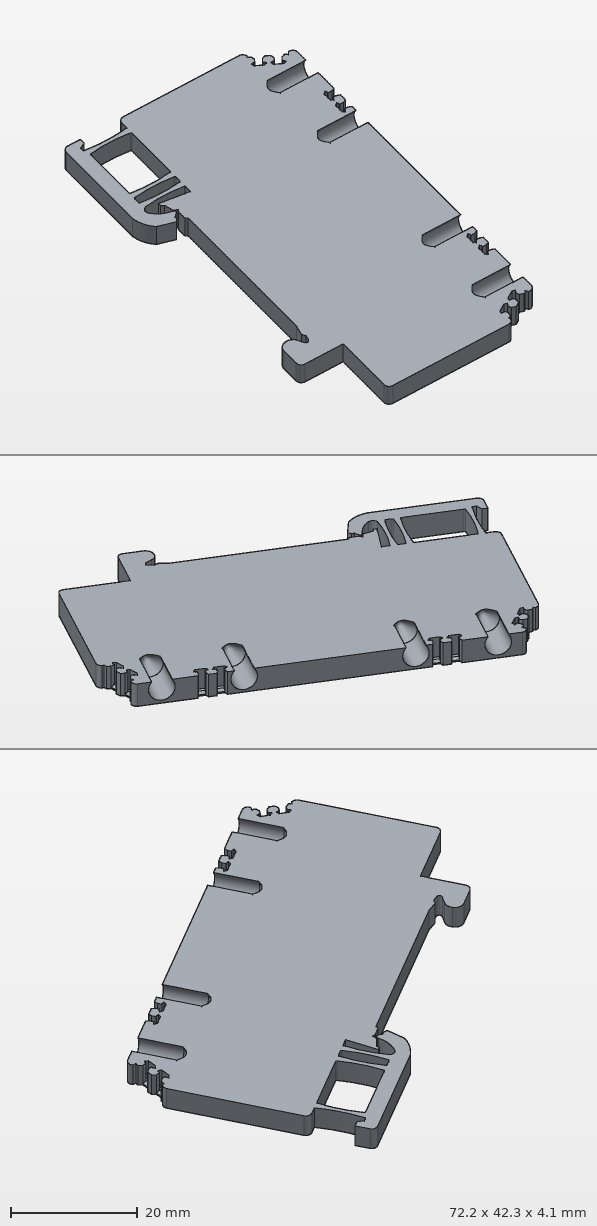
import cadquery as cq
import math

length = 72.2
thickness = 4.1
body_height = 31.5
foot_depth = 10.8
half_length = length / 2
corner_radius = 1.0

seat_y = -3.7
seat_lip = 0.4
seat_edge = [
    (-14.7, seat_y - seat_lip / 3),
    (-14.3, seat_y - seat_lip),
    (-12.55, seat_y - seat_lip),
    (-12.3, seat_y),
    (16.75, seat_y),
    (18.6, seat_y - seat_lip),
    (19.35, seat_y),
]

latch_nose = [(-17.55, -5.6), (-17.0, -5.6), (-16.7, -5.05), (-15.0, -4.6)]

slot_pitch = 3.1
slot_neck = 1.2
slot_head = 2.4
slot_head_base = 1.65
slot_neck_end = 1.3
slot_head_widest = 1.5
slot_depth = 1.95
slot_floor = 0.5
slot_sill = 0.25
slot_mouth_depth = 0.6
top_mouth = 1.7
shoulder_mouth = 2.2
top_pair_x = 19.1

shoulder_angle = 60.0
shoulder_mid_x = 33.4
shoulder_mid_y = body_height - 4.25
shoulder_reach = (slot_pitch + shoulder_mouth) / 2
flank_top = body_height - 7.8
flank_lobe_x = -35.4
flank_lobe_y = body_height - 6.9
flank_lobe_radius = 1.15
flank_nick_x = -35.0
flank_nick_y = body_height - 7.1
crest_start_x = -31.4
crest_radius = 0.95
crest_nick_x = -31.7
crest_nick_y = body_height - 1.5
crest_end_x = -32.2
crest_end_y = body_height - 1.15
lower_lobe_radius = 0.7
shoulder_dx = shoulder_reach * math.cos(math.radians(shoulder_angle))
shoulder_dy = shoulder_reach * math.sin(math.radians(shoulder_angle))

grooves = [(27.4, 3.3), (14.0, 3.2)]
groove_length = 7.45
groove_tip = 1.0
groove_radius = 2.2

leg_bow = 0.3
leg_outer_x = -33.8
bar_top_y = -8.0
bar_notch_y = -8.45
bar_notch_x = -34.5
bar_nose_x = -35.1
bar_nose_y = -7.4
hook_start_x = -17.3
hook_bend = (-15.15, -10.0)
hook_bend_end = (-13.7, -8.8)
hook_head = [(-12.7, -5.6), (-13.3, -5.2), (-13.7, -5.2), (-14.5, -4.25), (-14.95, -4.85)]
hook_inner_bend = (-15.5, -6.6)
gap_floor_right = (-16.8, -8.1)
gap_floor_mid = (-17.6, -8.2)
gap_floor_left_y = -7.65
windows = [(-32.55, -22.0), (-20.8, -19.4)]
gap_left = -18.2
gap_right = -16.75
window_corner = 0.2

throat_top = (20.3, -3.9)
throat_end = (20.6, -4.25)
throat_bottom = (20.35, -4.8)
claw_tip = (19.3, -5.4)
claw_bend = (18.6, -6.1)
rigid_outer_x = 24.2
rigid_inner_x = 18.5
rigid_bottom = -8.45
rigid_corner = 1.0
rigid_toe_radius = 1.45


def mirrored(shape):
    return shape.union(shape.mirror("YZ"))


def plate():
    """Main plate above Y = 0, with lobed ends on both shoulders."""
    upper_x = -shoulder_mid_x + shoulder_dx
    upper_y = shoulder_mid_y + shoulder_dy
    lower_x = -shoulder_mid_x - shoulder_dx
    lower_y = shoulder_mid_y - shoulder_dy
    half = (
        cq.Workplane("XY")
        .moveTo(0, 0)
        .lineTo(-half_length + corner_radius, 0)
        .radiusArc((-half_length, corner_radius), corner_radius)
        .lineTo(-half_length, flank_top)
        .radiusArc((flank_lobe_x, flank_lobe_y), flank_lobe_radius)
        .lineTo(flank_nick_x, flank_nick_y)
        .lineTo(lower_x, lower_y)
        .lineTo(upper_x, upper_y)
        .radiusArc((crest_nick_x, crest_nick_y), lower_lobe_radius)
        .lineTo(crest_end_x, crest_end_y)
        .radiusArc((crest_start_x, body_height), crest_radius)
        .lineTo(0, body_height)
        .close()
        .extrude(thickness)
    )
    return mirrored(half)


def marker_slot(mouth):
    """Slot cutter entering along -Y from the origin; its floor slopes down to a low sill at the mouth."""
    half_profile = [
        (mouth / 2, 0),
        (slot_neck / 2, -slot_mouth_depth),
        (slot_neck / 2, -slot_neck_end),
        (slot_head_base / 2, -slot_neck_end),
        (slot_head / 2, -slot_head_widest),
        (slot_head_base / 2, -slot_depth),
    ]
    other_half = [(-x, y) for x, y in reversed(half_profile)]
    cutter = cq.Workplane("XY").polyline(half_profile + other_half).close().extrude(thickness)
    floor = (
        cq.Workplane("YZ")
        .moveTo(-slot_mouth_depth, 0)
        .lineTo(-slot_mouth_depth, slot_sill)
        .lineTo(-slot_neck_end, slot_floor)
        .lineTo(-slot_depth, slot_floor)
        .lineTo(-slot_depth, 0)
        .close()
        .extrude(slot_head / 2, both=True)
    )
    return cutter.cut(floor)


def slot_pair(mouth):
    slot = marker_slot(mouth)
    return slot.translate((-slot_pitch / 2, 0, 0)).union(slot.translate((slot_pitch / 2, 0, 0)))


def shoulder_tooth():
    """Half-round tooth left between the two slots of a shoulder."""
    radius = (slot_pitch - slot_neck) / 2
    return (
        cq.Workplane("XY")
        .moveTo(-radius, -radius)
        .threePointArc((0, 0), (radius, -radius))
        .close()
        .extrude(thickness)
    )


def on_shoulder(shape):
    """Place a shape made at the origin on the left shoulder, and its mirror image on the right."""
    turned = shape.rotate((0, 0, 0), (0, 0, 1), shoulder_angle)
    return mirrored(turned.translate((-shoulder_mid_x, shoulder_mid_y, 0)))


def wire_groove(center_x, width):
    """Round groove sunk in the front face, its axis below the face, ending in a cone."""
    axis_depth = math.sqrt(groove_radius**2 - (width / 2) ** 2)
    cone_length = groove_tip * groove_radius / (groove_radius - axis_depth)
    return (
        cq.Workplane("XY")
        .lineTo(groove_radius, 0)
        .lineTo(groove_radius, -groove_length)
        .lineTo(0, -groove_length - cone_length)
        .close()
        .revolve(360, (0, 0, 0), (0, 1, 0))
        .translate((center_x, body_height, thickness - axis_depth))
    )


def spring_foot():
    """Bar hung on three legs, ending on the right in an upturned hook."""
    mid_y = bar_top_y / 2
    foot = (
        cq.Workplane("XY")
        .moveTo(leg_outer_x, corner_radius)
        .lineTo(leg_outer_x, 0)
        .threePointArc((leg_outer_x + leg_bow, mid_y), (leg_outer_x, bar_notch_y))
        .lineTo(bar_notch_x, bar_notch_y)
        .lineTo(bar_nose_x, bar_nose_y)
        .lineTo(-half_length, bar_nose_y)
        .lineTo(-half_length, -foot_depth + corner_radius)
        .radiusArc((-half_length + corner_radius, -foot_depth), -corner_radius)
        .lineTo(hook_start_x, -foot_depth)
        .threePointArc(hook_bend, hook_bend_end)
        .polyline(hook_head, includeCurrent=True)
        .threePointArc(hook_inner_bend, gap_floor_right)
        .threePointArc(gap_floor_mid, (gap_left, gap_floor_left_y))
        .threePointArc((gap_left - leg_bow, mid_y), (gap_left, 0))
        .lineTo(gap_left, corner_radius)
        .close()
        .extrude(thickness)
    )
    for left, right in windows:
        opening = (
            cq.Workplane("XY")
            .moveTo(left, 0)
            .lineTo(right, 0)
            .threePointArc((right + leg_bow, mid_y), (right, bar_top_y))
            .lineTo(left, bar_top_y)
            .threePointArc((left - leg_bow, mid_y), (left, 0))
            .close()
            .extrude(thickness)
            .edges("|Z")
            .fillet(window_corner)
        )
        foot = foot.cut(opening)
    return foot


def rail_seat():
    """Lower part of the plate: latch nose on the left, rail seat, rigid foot on the right."""
    return (
        cq.Workplane("XY")
        .moveTo(gap_right, corner_radius)
        .lineTo(gap_right, 0)
        .polyline(latch_nose + seat_edge + [throat_top], includeCurrent=True)
        .threePointArc(throat_end, throat_bottom)
        .lineTo(*claw_tip)
        .threePointArc(claw_bend, (rigid_inner_x, rigid_bottom + rigid_toe_radius))
        .radiusArc((rigid_inner_x + rigid_toe_radius, rigid_bottom), -rigid_toe_radius)
        .lineTo(rigid_outer_x - rigid_corner, rigid_bottom)
        .radiusArc((rigid_outer_x, rigid_bottom + rigid_corner), -rigid_corner)
        .lineTo(rigid_outer_x, corner_radius)
        .close()
        .extrude(thickness)
    )


result = plate().union(spring_foot()).union(rail_seat())

top_slots = slot_pair(top_mouth).translate((-top_pair_x, body_height, 0))
result = result.cut(mirrored(top_slots))
result = result.cut(on_shoulder(slot_pair(shoulder_mouth)))
result = result.union(on_shoulder(shoulder_tooth()))

for groove_x, groove_width in grooves:
    for side in (-1, 1):
        result = result.cut(wire_groove(side * groove_x, groove_width))